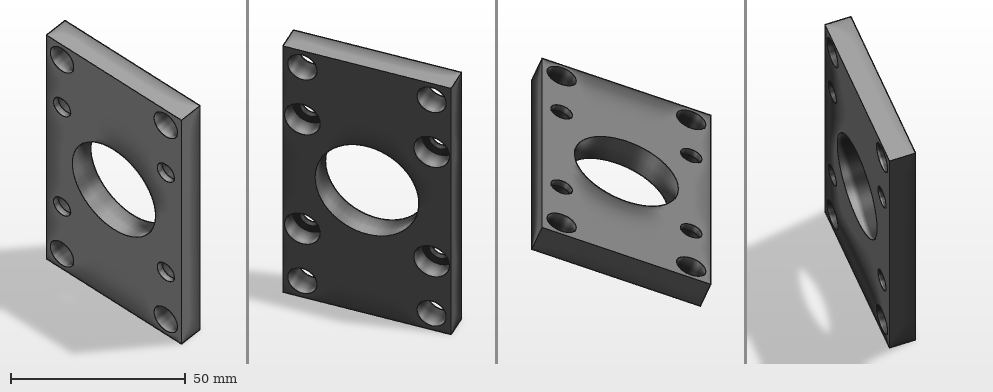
import cadquery as cq

width = 52.0
thickness = 8.0
height = 90.0

bore_diameter = 32.0

column_spacing = 40.0
corner_hole_diameter = 9.0
corner_row_spacing = 78.0

screw_row_spacing = column_spacing
screw_hole_diameter = 6.6
screw_head_diameter = 11.0
screw_seat_thickness = 2.0
screw_head_depth = thickness - screw_seat_thickness


def back_face(body):
    """Workplane centred on the back (+Y) face of the plate."""
    return body.faces(">Y").workplane(centerOption="CenterOfBoundBox")


def hole_centres(body, row_spacing):
    """Four hole centres at the corners of a rectangle on the back face."""
    return back_face(body).rect(column_spacing, row_spacing, forConstruction=True).vertices()


plate = cq.Workplane("XY").box(width, thickness, height)
plate = back_face(plate).hole(bore_diameter)
plate = hole_centres(plate, corner_row_spacing).hole(corner_hole_diameter)
plate = hole_centres(plate, screw_row_spacing).cboreHole(
    screw_hole_diameter, screw_head_diameter, screw_head_depth
)

result = plate